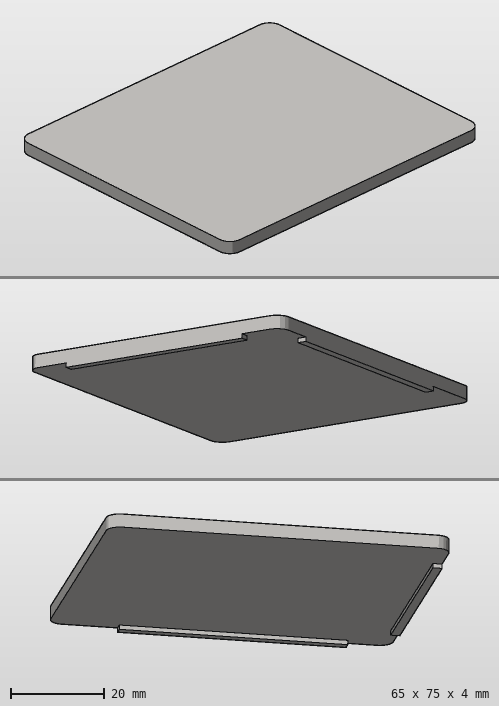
import cadquery as cq

plate_width = 65.0
plate_length = 75.0
plate_thickness = 3.0
corner_radius = 3.0

rib_width = 2.0
rib_height = 1.0
back_rib_setback = 10.0
back_rib_length = plate_width - 2 * back_rib_setback
side_rib_setback = 9.75
side_rib_length = 50.0

left_side = -plate_width / 2
back_side = plate_length / 2


def make_plate():
    """Flat plate with rounded corners, its underside at Z = 0."""
    plate = cq.Workplane("XY").rect(plate_width, plate_length).extrude(plate_thickness)
    return plate.edges("|Z").fillet(corner_radius)


def make_rib(size_x, size_y, left_x, back_y):
    """Rib hanging from the underside, placed by its -X, +Y corner."""
    rib = cq.Workplane("XY").box(size_x, size_y, rib_height, centered=False)
    return rib.translate((left_x, back_y - size_y, -rib_height))


back_rib = make_rib(back_rib_length, rib_width, left_side + back_rib_setback, back_side)
side_rib = make_rib(rib_width, side_rib_length, left_side, back_side - side_rib_setback)

result = make_plate().union(back_rib).union(side_rib)